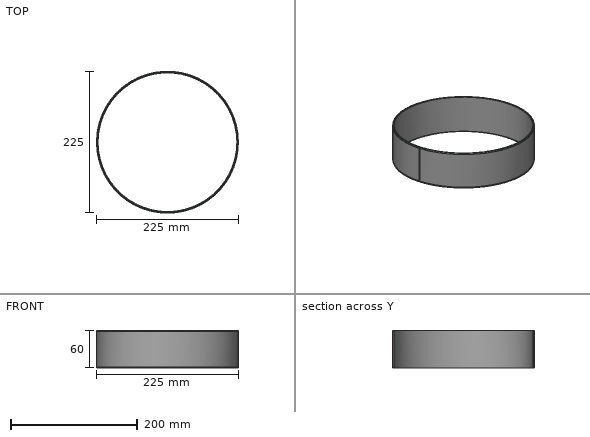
import cadquery as cq

outer_diameter = 225.0
height = 60.0
wall = 2.5
outer_chamfer_height = 1.8
outer_chamfer_width = 0.7
inner_chamfer = 0.5
slit_width = 2.0
slit_depth = 4 * wall
slit_offset = slit_width / 2

outer_radius = outer_diameter / 2
inner_radius = outer_radius - wall
rim_radius = outer_radius - outer_chamfer_width


def ring():
    """Thin band with tapered outer edges and small inner chamfers at both rims, standing on Z = 0."""
    profile = (
        cq.Workplane("XZ")
        .moveTo(inner_radius + inner_chamfer, 0)
        .lineTo(rim_radius, 0)
        .lineTo(outer_radius, outer_chamfer_height)
        .lineTo(outer_radius, height - outer_chamfer_height)
        .lineTo(rim_radius, height)
        .lineTo(inner_radius + inner_chamfer, height)
        .lineTo(inner_radius, height - inner_chamfer)
        .lineTo(inner_radius, inner_chamfer)
        .close()
    )
    return profile.revolve(360, (0, 0, 0), (0, 1, 0))


def slit():
    """Full-height cutter that splits the band on its -X side."""
    return (
        cq.Workplane("XY")
        .center(-outer_radius, slit_offset)
        .rect(slit_depth, slit_width)
        .extrude(height)
    )


result = ring().cut(slit())